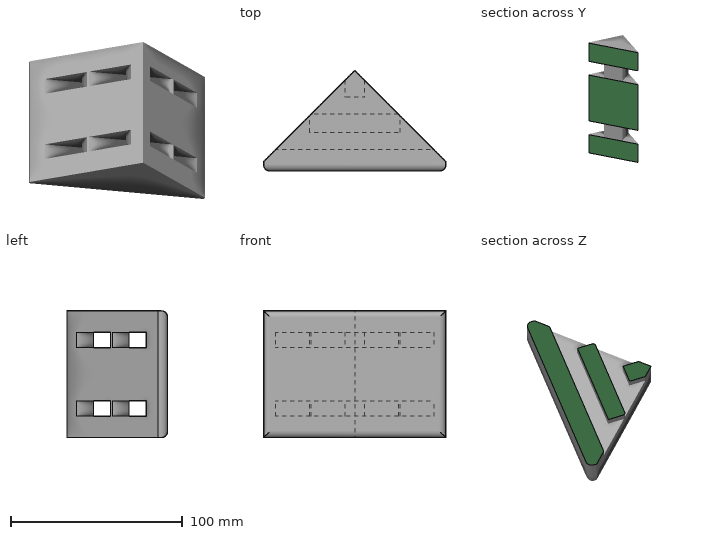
import cadquery as cq

width = 106.3
height = 74.0
wedge_height = width / 2
plate_thickness = 4.1
edge_radius = 3.7
shoulder_y = 5.5
apex_y = shoulder_y + wedge_height

slot_height = 8.9
slot_level = 20.0
slot_span = 19.7
slot_drops = (5.7, 26.5)


def front_plate():
    """Cover plate with rounded front edges and mitred corners."""
    plate = cq.Workplane("XY").box(width, plate_thickness, height, centered=(True, False, True))
    return plate.faces("<Y").edges().fillet(edge_radius)


def wedge():
    """Right-angled triangular body behind the plate, with short side shoulders."""
    half_width = width / 2
    outline = [
        (-half_width, plate_thickness),
        (half_width, plate_thickness),
        (half_width, shoulder_y),
        (0, apex_y),
        (-half_width, shoulder_y),
    ]
    return (
        cq.Workplane("XY")
        .workplane(offset=-height / 2)
        .polyline(outline)
        .close()
        .extrude(height)
    )


def slot(drop, level):
    """Tunnel along X, widened at both mouths by a notch with a flat end wall."""
    notch_wall_x = drop
    notch_top_y = apex_y - drop
    tunnel_top_y = notch_top_y - slot_span / 2
    tunnel = cq.Workplane("XY").box(width, slot_span / 2, slot_height)
    tunnel = tunnel.translate((0, tunnel_top_y - slot_span / 4, level))
    notch_length = width / 2 - notch_wall_x
    for side in (-1, 1):
        notch = cq.Workplane("XY").box(notch_length, slot_span, slot_height)
        notch_x = side * (notch_wall_x + notch_length / 2)
        tunnel = tunnel.union(notch.translate((notch_x, notch_top_y - slot_span / 2, level)))
    return tunnel


result = wedge().union(front_plate(), clean=False)
for slot_drop in slot_drops:
    for slot_z in (-slot_level, slot_level):
        result = result.cut(slot(slot_drop, slot_z), clean=False)